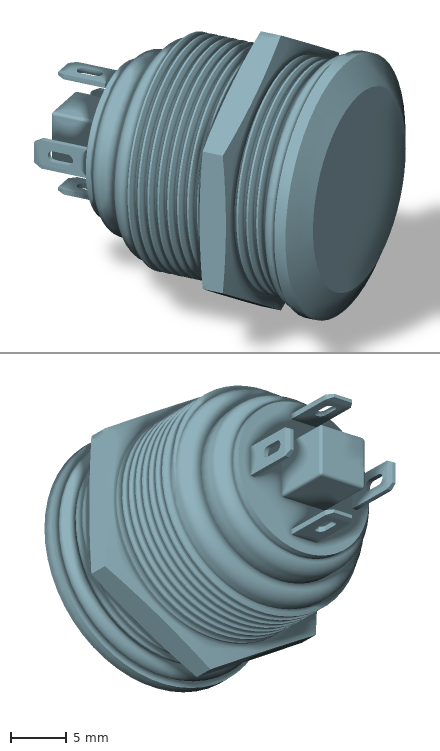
import cadquery as cq
import math


back_face_x = 5.92
rear_step_x = 6.82
body_x = 9.8
thread_start_x = 11.63
nut_x = 19.52
flange_x = 27.35
bevel_x = 28.5
front_x = 29.9

plate_radius = 7.45
rear_step_radius = 8.73
rear_step_fillet = 1.25
body_radius = 10.46
body_fillet = 1.3
flange_radius = 24.8 / 2
front_face_radius = 9.57

ring_outer_radius = 11.93
ring_section_radius = 0.8
ring_x = 26.7

thread_length = 14.47
thread_turns = 14.5
thread_pitch = thread_length / thread_turns
thread_height = 0.6
thread_base_width = 0.75
thread_crest_width = 0.18
thread_overlap = 0.1
thread_start_angle = 45
lead_in_angle = 55
lead_in_sink = thread_height + 0.03
lead_in_steps = 6

nut_thickness = 2.87
nut_corner_radius = 27.7 / 2
nut_face_radius = 11.35
nut_cone_depth = 0.42

post_width = 5.08
post_fillet = 0.27

terminal_offset = 5.8
terminal_width = 2.87
terminal_thickness = 0.5
tip_width = 2.05
tip_thickness = 0.33
tip_length = 0.75
slot_center_x = 2.7
slot_length = 2.5
slot_width = 1.08


def quarter_round(outline, x, radius, fillet):
    """Continue a profile outward at x and round its outer corner onto the given radius."""
    diagonal = fillet * math.sqrt(0.5)
    middle = (x + fillet - diagonal, radius - fillet + diagonal)
    return outline.lineTo(x, radius - fillet).threePointArc(middle, (x + fillet, radius))


def sealing_ring(outline):
    """Continue a profile along the body and over the round ring seated against the flange."""
    center_radius = ring_outer_radius - ring_section_radius
    body_side_run = math.sqrt(ring_section_radius**2 - (center_radius - body_radius) ** 2)
    flange_side_rise = math.sqrt(ring_section_radius**2 - (flange_x - ring_x) ** 2)
    return outline.lineTo(ring_x - body_side_run, body_radius).threePointArc(
        (ring_x, ring_outer_radius), (flange_x, center_radius + flange_side_rise)
    )


def turned_body():
    profile = cq.Workplane("XY").moveTo(back_face_x, 0).lineTo(back_face_x, plate_radius)
    profile = profile.lineTo(rear_step_x, plate_radius)
    profile = quarter_round(profile, rear_step_x, rear_step_radius, rear_step_fillet)
    profile = profile.lineTo(body_x, rear_step_radius)
    profile = quarter_round(profile, body_x, body_radius, body_fillet)
    profile = sealing_ring(profile)
    profile = (
        profile.lineTo(flange_x, flange_radius)
        .lineTo(bevel_x, flange_radius)
        .lineTo(front_x, front_face_radius)
        .lineTo(front_x, 0)
        .close()
    )
    return profile.revolve(360, (0, 0, 0), (1, 0, 0))


def thread_section(sink=0.0):
    """Trapezoidal ridge section at the start of the helix, lowered into the core by sink."""
    root = body_radius - thread_overlap - sink
    crest = body_radius + thread_height - sink
    flank_run = (thread_base_width - thread_crest_width) / 2
    root_half_width = thread_base_width / 2 + flank_run * thread_overlap / thread_height
    return (
        cq.Workplane("XZ")
        .moveTo(root, -root_half_width)
        .lineTo(crest, -thread_crest_width / 2)
        .lineTo(crest, thread_crest_width / 2)
        .lineTo(root, root_half_width)
        .close()
    )


def place_thread(solid):
    """Turn a thread piece made about Z onto the X axis and to its start angle."""
    solid = solid.rotate((0, 0, 0), (1, 1, 1), 120)
    solid = solid.rotate((0, 0, 0), (1, 0, 0), thread_start_angle)
    return solid.translate((thread_start_x, 0, 0))


def thread_ridge():
    helix = cq.Workplane(obj=cq.Wire.makeHelix(thread_pitch, thread_length, body_radius))
    return place_thread(thread_section().sweep(helix, isFrenet=True))


def thread_lead_in():
    """Ridge rising out of the core up to full height where the thread starts."""
    wires = []
    for step in range(lead_in_steps + 1):
        remaining = 1 - step / lead_in_steps
        angle = -lead_in_angle * remaining
        wire = thread_section(lead_in_sink * remaining).val()
        wire = wire.rotate(cq.Vector(0, 0, 0), cq.Vector(0, 0, 1), angle)
        wires.append(wire.translate(cq.Vector(0, 0, thread_pitch * angle / 360)))
    return place_thread(cq.Workplane(obj=cq.Solid.makeLoft(wires)))


def hexagon_nut():
    hexagon = (
        cq.Workplane("YZ", origin=(nut_x, 0, 0))
        .polygon(6, 2 * nut_corner_radius)
        .extrude(nut_thickness)
        .rotate((0, 0, 0), (1, 0, 0), 90)
    )
    double_cone = (
        cq.Workplane("XY")
        .moveTo(nut_x, 0)
        .lineTo(nut_x, nut_face_radius)
        .lineTo(nut_x + nut_cone_depth, nut_corner_radius)
        .lineTo(nut_x + nut_thickness - nut_cone_depth, nut_corner_radius)
        .lineTo(nut_x + nut_thickness, nut_face_radius)
        .lineTo(nut_x + nut_thickness, 0)
        .close()
        .revolve(360, (0, 0, 0), (1, 0, 0))
    )
    return hexagon.intersect(double_cone)


def center_post():
    post = cq.Workplane("YZ").rect(post_width, post_width).extrude(back_face_x)
    return post.edges("|X or <X").fillet(post_fillet)


def terminal(angle):
    """Slotted blade with a tapered tip, turned about the axis; angle 0 lies on the +Z side."""
    blade = (
        cq.Workplane("YZ", origin=(tip_length, 0, terminal_offset))
        .rect(terminal_width, terminal_thickness)
        .extrude(back_face_x - tip_length)
    )
    tip = (
        cq.Workplane("YZ", origin=(0, 0, terminal_offset))
        .rect(tip_width, tip_thickness)
        .workplane(offset=tip_length)
        .rect(terminal_width, terminal_thickness)
        .loft(ruled=True)
    )
    slot = (
        cq.Workplane("XY", origin=(slot_center_x, 0, terminal_offset))
        .slot2D(slot_length, slot_width)
        .extrude(terminal_thickness, both=True)
    )
    return blade.union(tip).cut(slot).rotate((0, 0, 0), (1, 0, 0), angle)


result = turned_body().union(thread_ridge()).union(thread_lead_in())
result = result.union(hexagon_nut()).union(center_post())
for quarter in range(4):
    result = result.union(terminal(90 * quarter))